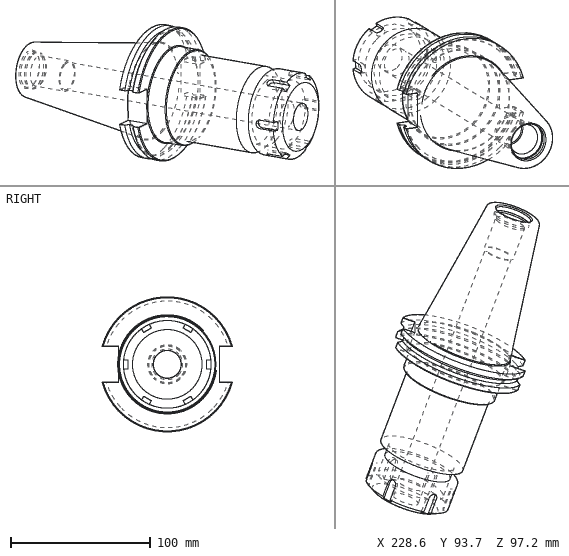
import cadquery as cq
import math

total_length = 228.6

taper_ratio = 7 / 24
gauge_diameter = 70.0
taper_length = 102.7
small_end_diameter = gauge_diameter - taper_ratio * taper_length
small_end_fillet = 2.3

flange_diameter = 97.2
flange_start = 104.7
flange_end = 120.7
flange_chamfer = 0.7
root_fillet = 0.7
groove_center = 112.5
groove_floor_width = 2.7
groove_mouth_width = 6.9
groove_floor_diameter = 91.2

drive_slot_width = 25.5
drive_slot_edge_chamfer = 0.2
shallow_slot_floor = 37.7
deep_slot_floor = 35.2

collar_diameter = gauge_diameter
collar_end = 136.5
collar_chamfer = 0.7
body_diameter = 63.0
body_fillet = 2.3
body_end = 193.6
neck_diameter = 50.0
neck_end = 217.2

bore_mouth_chamfer = 1.0
pilot_diameter = 26.3
pilot_depth = 4.1
relief_diameter = 26.7
relief_depth = 5.5
thread_diameter = 22.2
thread_depth = 32.0
through_diameter = 20.0
bore_mouth_diameter = pilot_diameter + 2 * bore_mouth_chamfer

nut_diameter = 63.0
nut_start = 202.8
nut_back_fillet = 2.0
nut_bevel_length = 4.0
nut_face_diameter = 50.0

spanner_slot_count = 6
spanner_slot_width = 6.5
spanner_slot_start = 210.3
spanner_slot_floor_radius = 28.3


def revolve_about_x(profile):
    """Turn a closed (x, radius) profile about the X axis."""
    return profile.close().revolve(360, (0, 0, 0), (1, 0, 0))


def cylinder_along_x(diameter, start, end):
    return cq.Workplane("YZ").workplane(offset=start).circle(diameter / 2).extrude(end - start)


def block(x_range, y_range, height):
    """Box between the given X and Y limits, centred on Z = 0."""
    x_size = x_range[1] - x_range[0]
    y_size = y_range[1] - y_range[0]
    return (
        cq.Workplane("XY")
        .box(x_size, y_size, height, centered=(False, False, True))
        .translate((x_range[0], y_range[0], 0))
    )


def add_root_fillet(profile, face_x, cylinder_radius, fillet_radius, side):
    """Draw a concave arc where a cylinder meets a flat shoulder.

    side is -1 for a cylinder that runs up to the shoulder from lower X,
    and 1 for a cylinder that starts at the shoulder and runs to higher X.
    """
    center_x = face_x + side * fillet_radius
    center_radius = cylinder_radius + fillet_radius
    middle_offset = fillet_radius * math.sqrt(0.5)
    middle = (center_x - side * middle_offset, center_radius - middle_offset)
    on_cylinder = (center_x, cylinder_radius)
    on_face = (face_x, center_radius)
    if side < 0:
        return profile.lineTo(*on_cylinder).threePointArc(middle, on_face)
    return profile.lineTo(*on_face).threePointArc(middle, on_cylinder)


def make_outer_shape():
    """Taper, flange, collar, body and neck as one turned blank."""
    flange_radius = flange_diameter / 2
    collar_radius = collar_diameter / 2
    body_radius = body_diameter / 2
    neck_radius = neck_diameter / 2
    gauge_radius = gauge_diameter / 2
    profile = (
        cq.Workplane("XY")
        .lineTo(0, small_end_diameter / 2)
        .lineTo(taper_length, gauge_radius)
    )
    profile = add_root_fillet(profile, flange_start, gauge_radius, root_fillet, -1)
    profile = (
        profile
        .lineTo(flange_start, flange_radius)
        .lineTo(flange_end - flange_chamfer, flange_radius)
        .lineTo(flange_end, flange_radius - flange_chamfer)
    )
    profile = add_root_fillet(profile, flange_end, collar_radius, root_fillet, 1)
    profile = (
        profile
        .lineTo(collar_end - collar_chamfer, collar_radius)
        .lineTo(collar_end, collar_radius - collar_chamfer)
    )
    profile = add_root_fillet(profile, collar_end, body_radius, body_fillet, 1)
    profile = profile.lineTo(body_end, body_radius)
    profile = add_root_fillet(profile, body_end, neck_radius, root_fillet, 1)
    profile = (
        profile
        .lineTo(neck_end, neck_radius)
        .lineTo(neck_end, 0)
    )
    return revolve_about_x(profile).faces("<X").edges().fillet(small_end_fillet)


def make_flange_groove():
    """Trapezoidal ring that cuts the V groove into the flange rim."""
    rim_radius = flange_diameter / 2
    floor_radius = groove_floor_diameter / 2
    half_floor = groove_floor_width / 2
    half_mouth = groove_mouth_width / 2
    profile = (
        cq.Workplane("XY")
        .moveTo(groove_center - half_mouth, rim_radius)
        .lineTo(groove_center - half_floor, floor_radius)
        .lineTo(groove_center + half_floor, floor_radius)
        .lineTo(groove_center + half_mouth, rim_radius)
    )
    return revolve_about_x(profile)


def make_bore():
    """Chamfered pilot, relief, thread hole and through hole, from the small end."""
    shoulder = (relief_diameter - thread_diameter) / 2
    profile = (
        cq.Workplane("XY")
        .lineTo(0, bore_mouth_diameter / 2)
        .lineTo(bore_mouth_chamfer, pilot_diameter / 2)
        .lineTo(pilot_depth, pilot_diameter / 2)
        .lineTo(pilot_depth, relief_diameter / 2)
        .lineTo(relief_depth, relief_diameter / 2)
        .lineTo(relief_depth + shoulder, thread_diameter / 2)
        .lineTo(thread_depth, thread_diameter / 2)
        .lineTo(thread_depth, through_diameter / 2)
        .lineTo(neck_end, through_diameter / 2)
        .lineTo(neck_end, 0)
    )
    return revolve_about_x(profile)


def make_holder():
    rim_radius = flange_diameter / 2
    flange_range = (flange_start, flange_end)
    shallow_slot = block(flange_range, (shallow_slot_floor, rim_radius), drive_slot_width)
    deep_slot = block(flange_range, (-rim_radius, -deep_slot_floor), drive_slot_width)
    blank = make_outer_shape().cut(shallow_slot).cut(deep_slot)

    floor_limit = shallow_slot_floor + drive_slot_edge_chamfer
    wall_edges = blank.faces("|Z").edges("%LINE").filter(lambda edge: abs(edge.Center().y) > floor_limit)
    chamfered = wall_edges.chamfer(drive_slot_edge_chamfer)
    return chamfered.cut(make_flange_groove()).cut(make_bore())


def make_spanner_slot():
    """Round-ended slot on the -Y side of the nut, open at the nut face."""
    end_radius = spanner_slot_width / 2
    end_center = spanner_slot_start + end_radius
    nut_radius = nut_diameter / 2
    straight_part = block(
        (end_center, total_length), (-nut_radius, -spanner_slot_floor_radius), spanner_slot_width
    )
    round_end = (
        cq.Workplane("XZ")
        .workplane(offset=spanner_slot_floor_radius)
        .center(end_center, 0)
        .circle(end_radius)
        .extrude(nut_radius - spanner_slot_floor_radius)
    )
    return straight_part.union(round_end)


def make_nut():
    """Bevelled nut whose socket fits the neck, with a hole through its face."""
    nut_radius = nut_diameter / 2
    profile = (
        cq.Workplane("XY")
        .moveTo(nut_start, 0)
        .lineTo(nut_start, nut_radius)
        .lineTo(total_length - nut_bevel_length, nut_radius)
        .lineTo(total_length, nut_face_diameter / 2)
        .lineTo(total_length, 0)
    )
    nut = revolve_about_x(profile).faces("<X").edges().fillet(nut_back_fillet)
    spanner_slot = make_spanner_slot()
    for index in range(spanner_slot_count):
        angle = index * 360 / spanner_slot_count
        nut = nut.cut(spanner_slot.rotate((0, 0, 0), (1, 0, 0), angle))
    socket = cylinder_along_x(neck_diameter, nut_start, neck_end)
    face_hole = cylinder_along_x(through_diameter, neck_end, total_length)
    return nut.cut(socket).cut(face_hole)


holder = make_holder()
nut = make_nut()

result = cq.Compound.makeCompound([holder.val(), nut.val()])